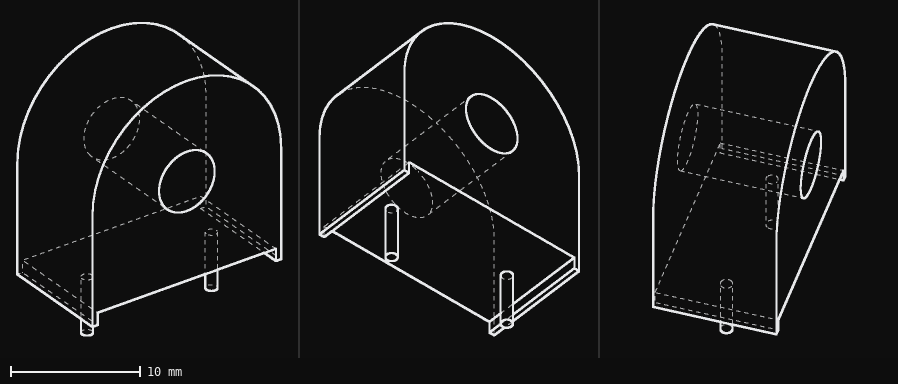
import cadquery as cq

total_height = 22.9
body_depth = 10.0
body_width = 18.0
bore_diameter = 5.31
foot_height = 1.1
foot_thickness = 0.5
pin_length = 5.0
pin_diameter = 0.96
pin_spacing = 11.86

crown_radius = body_width / 2
bore_height = total_height - crown_radius
underside = pin_length
foot_bottom = underside - foot_height


def make_body():
    """Block with a half-round crown, extruded along X."""
    return (
        cq.Workplane("YZ")
        .moveTo(-crown_radius, foot_bottom)
        .lineTo(crown_radius, foot_bottom)
        .lineTo(crown_radius, bore_height)
        .threePointArc((0, total_height), (-crown_radius, bore_height))
        .close()
        .extrude(body_depth / 2, both=True)
    )


def make_bore():
    """Through hole concentric with the crown."""
    return (
        cq.Workplane("YZ")
        .center(0, bore_height)
        .circle(bore_diameter / 2)
        .extrude(body_depth / 2, both=True)
    )


def make_underside_channel():
    """Channel along X that leaves a thin foot on each side."""
    channel_width = body_width - 2 * foot_thickness
    return (
        cq.Workplane("XY", origin=(0, 0, foot_bottom))
        .rect(body_depth, channel_width)
        .extrude(foot_height)
    )


def make_pins():
    """Two round pins hanging from the underside."""
    return (
        cq.Workplane("XY")
        .pushPoints([(0, side * pin_spacing / 2) for side in (-1, 1)])
        .circle(pin_diameter / 2)
        .extrude(underside)
    )


result = make_body().cut(make_bore()).cut(make_underside_channel()).union(make_pins())